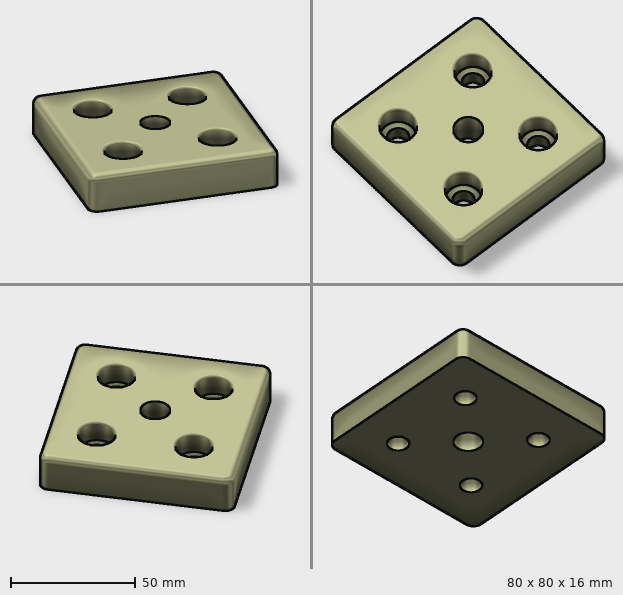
import cadquery as cq

side = 80.0
thickness = 16.0
corner_radius = 4.0
top_edge_radius = 3.0

center_hole_diameter = 12.0

screw_spacing = side / 2
screw_hole_diameter = 9.0
counterbore_diameter = 15.0
counterbore_depth = 9.0
rim_radius = 1.0


def make_plate():
    """Square plate standing on Z = 0, with rounded corners and a rounded top edge."""
    plate = cq.Workplane("XY").box(side, side, thickness, centered=(True, True, False))
    plate = plate.edges("|Z").fillet(corner_radius)
    return plate.faces(">Z").edges().fillet(top_edge_radius)


def cut_screw_holes(plate):
    """Four counterbored through holes on a square pattern, each with a rounded rim."""
    drilled = (
        plate.faces(">Z")
        .workplane()
        .rarray(screw_spacing, screw_spacing, 2, 2)
        .cboreHole(screw_hole_diameter, counterbore_diameter, counterbore_depth)
    )
    rims = drilled.faces(">Z").edges(cq.selectors.RadiusNthSelector(-1))
    return rims.fillet(rim_radius)


def cut_center_hole(plate):
    """Plain through hole in the middle of the plate."""
    return plate.faces(">Z").workplane().hole(center_hole_diameter)


result = cut_center_hole(cut_screw_holes(make_plate()))